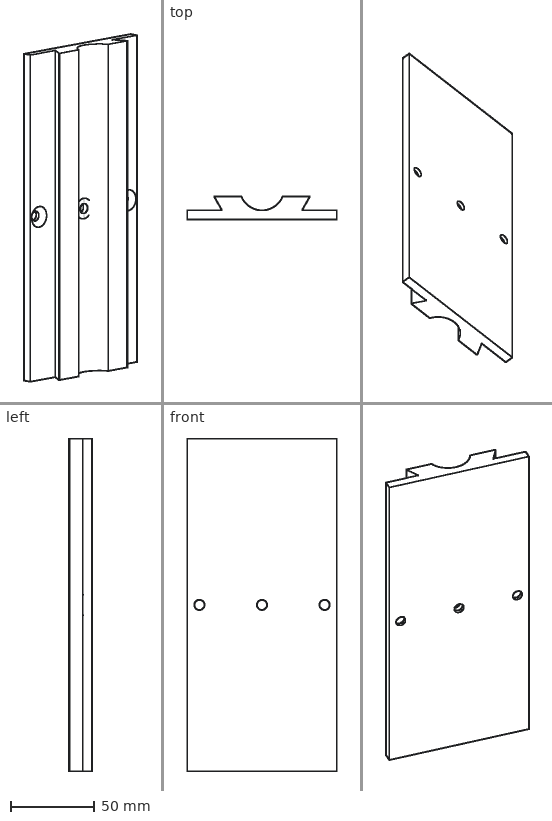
import cadquery as cq
import math

plate_width = 90.0
plate_height = 200.0
plate_thickness = 5.5

total_depth = 14.0
rail_half_width = 28.5
rail_angle = 60.0
tip_flat = 0.5

groove_half_width = 12.5

hole_diameter = 6.0
hole_spacing = 37.5

sink_diameter = 12.5
sink_angle = 90.0

rail_depth = total_depth - plate_thickness
undercut = (rail_depth - tip_flat) / math.tan(math.radians(rail_angle))
rail_root_half_width = rail_half_width - undercut
sink_depth = (sink_diameter - hole_diameter) / 2 / math.tan(math.radians(sink_angle / 2))


def make_plate():
    return cq.Workplane("XY").box(
        plate_width, plate_thickness, plate_height, centered=(True, False, True)
    )


def make_rail():
    """Dovetail with narrow flats at its tips and a groove of circular section."""
    tip_y = total_depth - tip_flat
    return (
        cq.Workplane("XY")
        .workplane(offset=-plate_height / 2)
        .moveTo(-rail_root_half_width, 0)
        .lineTo(-rail_root_half_width, plate_thickness)
        .lineTo(-rail_half_width, tip_y)
        .lineTo(-rail_half_width, total_depth)
        .lineTo(-groove_half_width, total_depth)
        .threePointArc((0, plate_thickness), (groove_half_width, total_depth))
        .lineTo(rail_half_width, total_depth)
        .lineTo(rail_half_width, tip_y)
        .lineTo(rail_root_half_width, plate_thickness)
        .lineTo(rail_root_half_width, 0)
        .close()
        .extrude(plate_height)
    )


def make_hole(x):
    """Through hole whose countersink opens at the back face of the plate."""
    drill = cq.Workplane("XZ").center(x, 0).circle(hole_diameter / 2).extrude(-total_depth)
    cone = cq.Solid.makeCone(
        hole_diameter / 2,
        sink_diameter / 2,
        sink_depth,
        pnt=cq.Vector(x, plate_thickness - sink_depth, 0),
        dir=cq.Vector(0, 1, 0),
    )
    return drill.union(cq.Workplane(obj=cone))


result = make_plate().union(make_rail())
for side in (-1, 0, 1):
    result = result.cut(make_hole(side * hole_spacing))